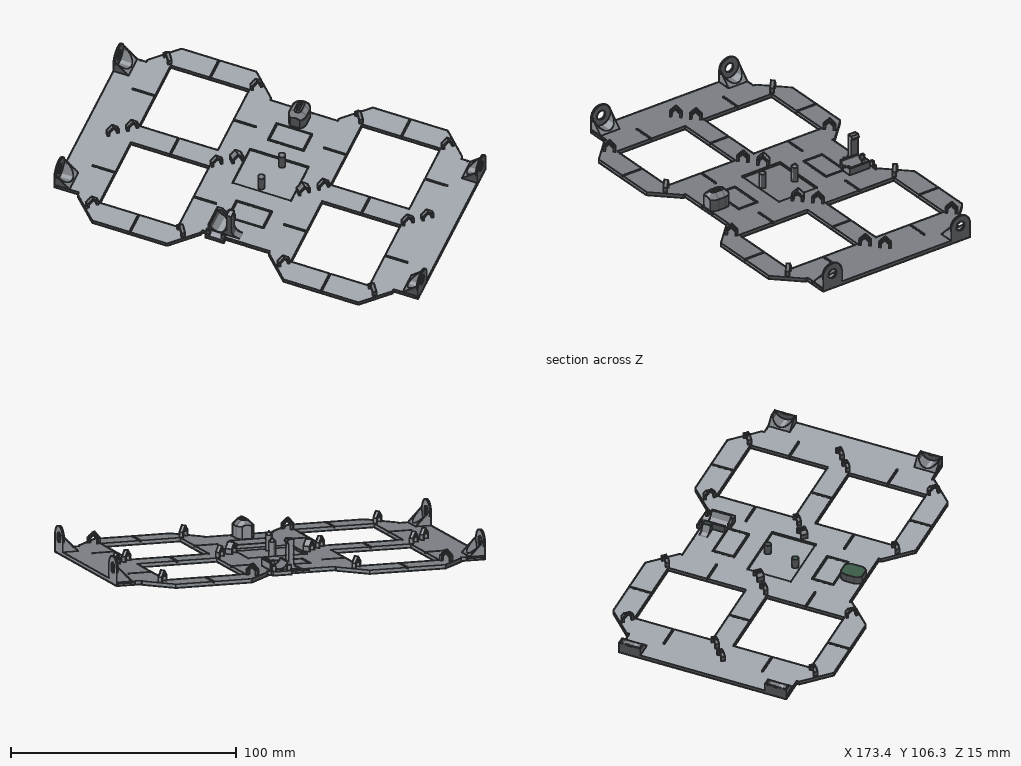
import cadquery as cq
import math

LENGTH = 173.4
BODY_WIDTH = 80.8
THICKNESS = 1.7
END_X = LENGTH / 2
EDGE_Y = BODY_WIDTH / 2

WINDOW = 37.5
BAND = 10.7
WINDOW_X = 45.6
WINDOW_Y = 23.7
RING_CHAMFER = 11.6
GROOVE_WIDTH = 0.5
GROOVE_DEPTH = 0.5

POCKET_LENGTH = 27.9
POCKET_WIDTH = 21.1
POCKET_Y = 0.5
POCKET_DEPTH = 1.0
PIN_DIAMETER = 3.0
PIN_SHOULDER_Z = 7.8
PIN_TIP_Z = 9.4
PIN_PLACES = [(2.5, 8.1), (-1.4, -6.8)]

FRAME_LENGTH = 17.2
FRAME_INNER_Y = 18.7
FRAME_OUTER_Y = 29.1
FRAME_GROOVE = 0.5
FRAME_OUTER_GROOVE = 0.26

LUG_WIDTH = 10.4
LUG_WALL = 0.7
LUG_HOLE = 4.5
LUG_CENTER_Z = 7.5
GUSSET_REACH = 7.3
SCOOP_DIAMETER = 10.0

CLIP_LENGTH = 5.4
CLIP_WALL = 0.9
CLIP_TOP_Z = 6.8
CLIP_WIDTH = 1.7
WIDE_CLIP_WIDTH = 3.1
CLIP_OFFSET = 21.1
CLIP_ANGLE = 45
END_CLIP = (73.7, 3.3)
POCKET_CLIP = (17.2, -3.1)

POST_WIDTH = 8.1
POST_RADIUS = POST_WIDTH / 2
POST_LENGTH = 10.4
POST_STRAIGHT = 3.6
POST_SHOULDER_Z = 7.3
POST_BREAK_RADIUS = 1.5
RIDGE_RADIUS = 0.5
RIDGE_BASE_Z = 9.9
RIDGE_TOP_Z = 10.4

CRADLE_LEFT = -13.9
CRADLE_RIGHT = -5.0
CRADLE_BACK_Y = -27.9
CRADLE_FRONT_Y = -38.8
CRADLE_TOP_Z = 5.0
CRADLE_BORE_RADIUS = 3.8
CRADLE_BORE_Z = 5.9
LIP_BORE_RADIUS = 2.0
TONGUE_FRONT_Y = -42.5
EAR_FRONT_Y = -41.5
EAR_WIDTH = 1.7
EAR_TOP_Z = 4.2

LATCH_LEFT = -5.2
LATCH_RIGHT = -3.0
LATCH_BACK_Y = -35.0
LATCH_TOP_Z = 15.0
HOOK_REACH = 0.7
HOOK_HEIGHT = 2.0
LATCH_FILLET = 3.8

V_DEPTH = 0.5
CORNER_V_X = 82.0
V_LENGTH = 8.0

BOTH_SIDES = (-1, 1)


def block(x_range, y_range, z_range):
    """Box between two limits along each axis."""
    sizes = [high - low for low, high in (x_range, y_range, z_range)]
    corner = (x_range[0], y_range[0], z_range[0])
    return cq.Workplane("XY").box(*sizes, centered=False).translate(corner)


def window_centers():
    return [(sx * WINDOW_X, sy * WINDOW_Y) for sx in BOTH_SIDES for sy in BOTH_SIDES]


def make_plate():
    plate = cq.Workplane("XY").box(LENGTH, BODY_WIDTH, THICKNESS, centered=(True, True, False))
    ring_length = WINDOW + 2 * BAND
    ring_width = 2 * WINDOW_Y + ring_length
    for side in BOTH_SIDES:
        ring = (
            cq.Workplane("XY")
            .box(ring_length, ring_width, THICKNESS, centered=(True, True, False))
            .edges("|Z")
            .chamfer(RING_CHAMFER)
            .translate((side * WINDOW_X, 0, 0))
        )
        plate = plate.union(ring)
    tongue = block((CRADLE_LEFT, CRADLE_RIGHT), (TONGUE_FRONT_Y, CRADLE_FRONT_Y), (0, THICKNESS))
    return plate.union(tongue)


def cut_windows(plate):
    """Open the four windows and score a groove across the middle of every band."""
    groove_span = WINDOW + 2 * BAND
    bottom = THICKNESS - GROOVE_DEPTH
    tools = cq.Workplane("XY").workplane(offset=bottom).pushPoints(window_centers())
    plate = plate.cut(tools.rect(groove_span, GROOVE_WIDTH).extrude(GROOVE_DEPTH))
    plate = plate.cut(tools.rect(GROOVE_WIDTH, groove_span).extrude(GROOVE_DEPTH))
    openings = cq.Workplane("XY").pushPoints(window_centers()).rect(WINDOW, WINDOW).extrude(THICKNESS)
    return plate.cut(openings)


def cut_pocket(plate):
    pocket = (
        cq.Workplane("XY", origin=(0, POCKET_Y, THICKNESS - POCKET_DEPTH))
        .rect(POCKET_LENGTH, POCKET_WIDTH)
        .extrude(POCKET_DEPTH)
    )
    return plate.cut(pocket)


def make_frame_groove():
    """Rectangular groove on the +Y side, narrower along its outer edge."""
    half = FRAME_LENGTH / 2
    depth_range = (THICKNESS - GROOVE_DEPTH, THICKNESS)
    outside = block((-half, half), (FRAME_INNER_Y, FRAME_OUTER_Y), depth_range)
    island = block(
        (FRAME_GROOVE - half, half - FRAME_GROOVE),
        (FRAME_INNER_Y + FRAME_GROOVE, FRAME_OUTER_Y - FRAME_OUTER_GROOVE),
        depth_range,
    )
    return outside.cut(island)


def make_v_groove(x):
    """V-shaped cutter along X at the +Y edge of the plate body."""
    return (
        cq.Workplane("YZ", origin=(x - V_LENGTH / 2, 0, 0))
        .moveTo(EDGE_Y, 0)
        .lineTo(EDGE_Y - V_DEPTH, THICKNESS / 2)
        .lineTo(EDGE_Y, THICKNESS)
        .close()
        .extrude(V_LENGTH)
    )


def make_pin(x, y):
    radius = PIN_DIAMETER / 2
    return (
        cq.Workplane("XZ")
        .moveTo(0, THICKNESS - POCKET_DEPTH)
        .lineTo(radius, THICKNESS - POCKET_DEPTH)
        .lineTo(radius, PIN_SHOULDER_Z)
        .lineTo(0, PIN_TIP_Z)
        .close()
        .revolve(360, (0, 0), (0, 1))
        .translate((x, y, 0))
    )


def make_lug():
    """Round-topped lug with a scooped gusset at the +X, +Y corner."""
    radius = LUG_WIDTH / 2
    center_y = EDGE_Y - radius
    wall_x = END_X - LUG_WALL
    wall = (
        cq.Workplane("YZ", origin=(wall_x, center_y, 0))
        .moveTo(-radius, 0)
        .lineTo(radius, 0)
        .lineTo(radius, LUG_CENTER_Z)
        .threePointArc((0, LUG_CENTER_Z + radius), (-radius, LUG_CENTER_Z))
        .close()
        .extrude(LUG_WALL)
    )
    rise = GUSSET_REACH - LUG_WALL
    gusset = (
        cq.Workplane("XZ", origin=(0, EDGE_Y, 0))
        .moveTo(END_X - GUSSET_REACH, THICKNESS)
        .lineTo(wall_x, THICKNESS)
        .lineTo(wall_x, THICKNESS + rise)
        .close()
        .extrude(LUG_WIDTH)
    )
    axis = cq.Workplane("YZ", origin=(END_X - GUSSET_REACH, center_y, LUG_CENTER_Z))
    scoop = axis.circle(SCOOP_DIAMETER / 2).extrude(rise)
    hole = axis.circle(LUG_HOLE / 2).extrude(GUSSET_REACH)
    return wall.union(gusset.cut(scoop)).cut(hole)


def make_clip(x, y, angle, width):
    """Gable-topped arch standing on the plate, its span turned by angle from X."""

    def gable(half_span, top_z):
        return (
            cq.Workplane("XZ", origin=(0, width / 2, 0))
            .moveTo(-half_span, THICKNESS)
            .lineTo(half_span, THICKNESS)
            .lineTo(half_span, top_z - half_span)
            .lineTo(0, top_z)
            .lineTo(-half_span, top_z - half_span)
            .close()
            .extrude(width)
        )

    half = CLIP_LENGTH / 2
    arch = gable(half, CLIP_TOP_Z).cut(gable(half - CLIP_WALL, CLIP_TOP_Z - CLIP_WALL * math.sqrt(2)))
    return arch.rotate((0, 0, 0), (0, 0, 1), angle).translate((x, y, 0))


def make_clips():
    clips = []
    for x, y in window_centers():
        outward = math.copysign(1, y)
        for sx, sy in ((-1, -1), (1, 1), (-outward, outward)):
            angle = CLIP_ANGLE * sx * sy
            clips.append(make_clip(x + sx * CLIP_OFFSET, y + sy * CLIP_OFFSET, angle, CLIP_WIDTH))
    for side in BOTH_SIDES:
        clips.append(make_clip(side * END_CLIP[0], side * END_CLIP[1], CLIP_ANGLE, CLIP_WIDTH))
        clips.append(make_clip(side * POCKET_CLIP[0], side * POCKET_CLIP[1], CLIP_ANGLE, WIDE_CLIP_WIDTH))
    return clips


def make_post():
    """Rounded post with flat ends; its roof starts at 45 degrees and flattens below a narrow ridge."""
    break_z = POST_SHOULDER_Z + POST_RADIUS - POST_BREAK_RADIUS

    def half_profile():
        return (
            cq.Workplane("XZ")
            .moveTo(0, THICKNESS)
            .lineTo(POST_RADIUS, THICKNESS)
            .lineTo(POST_RADIUS, POST_SHOULDER_Z)
            .lineTo(POST_BREAK_RADIUS, break_z)
            .lineTo(RIDGE_RADIUS, RIDGE_BASE_Z)
            .lineTo(RIDGE_RADIUS, RIDGE_TOP_Z)
            .lineTo(0, RIDGE_TOP_Z)
            .close()
        )

    straight_half = half_profile().extrude(POST_STRAIGHT / 2, both=True)
    round_end = half_profile().revolve(360, (0, 0), (0, 1))
    post = straight_half.union(straight_half.mirror("YZ"))
    for side in BOTH_SIDES:
        post = post.union(round_end.translate((0, side * POST_STRAIGHT / 2, 0)))
    half_length = POST_LENGTH / 2
    envelope = block((-POST_RADIUS, POST_RADIUS), (-half_length, half_length), (THICKNESS, RIDGE_TOP_Z))
    return post.intersect(envelope).translate((0, EDGE_Y - half_length, 0))


def make_cradle():
    """Trough along Y with a shallower lip at its back, and two ears in front of it."""
    center_x = (CRADLE_LEFT + CRADLE_RIGHT) / 2
    height_range = (THICKNESS, CRADLE_TOP_Z)
    trough = block((CRADLE_LEFT, CRADLE_RIGHT), (CRADLE_FRONT_Y, -FRAME_OUTER_Y), height_range)
    lip = block((CRADLE_LEFT, -FRAME_LENGTH / 2), (-FRAME_OUTER_Y, CRADLE_BACK_Y), height_range)

    def bore(radius):
        start = cq.Workplane("XZ", origin=(center_x, CRADLE_BACK_Y, CRADLE_BORE_Z))
        return start.circle(radius).extrude(CRADLE_BACK_Y - CRADLE_FRONT_Y)

    cradle = trough.cut(bore(CRADLE_BORE_RADIUS)).union(lip.cut(bore(LIP_BORE_RADIUS)))
    for ear_left in (CRADLE_LEFT, CRADLE_RIGHT - EAR_WIDTH):
        ear = block((ear_left, ear_left + EAR_WIDTH), (EAR_FRONT_Y, -EDGE_Y), (THICKNESS, EAR_TOP_Z))
        cradle = cradle.union(ear)
    return cradle


def make_latch():
    """Upright latch with a pointed hook toward the cradle and a concave foot on its other side."""
    foot_x = LATCH_RIGHT + LATCH_FILLET
    foot_z = THICKNESS + LATCH_FILLET
    bend = LATCH_FILLET * (1 - math.sqrt(0.5))
    return (
        cq.Workplane("XZ", origin=(0, LATCH_BACK_Y, 0))
        .moveTo(LATCH_LEFT, THICKNESS)
        .lineTo(foot_x, THICKNESS)
        .threePointArc((LATCH_RIGHT + bend, THICKNESS + bend), (LATCH_RIGHT, foot_z))
        .lineTo(LATCH_RIGHT, LATCH_TOP_Z)
        .lineTo(LATCH_LEFT, LATCH_TOP_Z)
        .lineTo(LATCH_LEFT - HOOK_REACH, LATCH_TOP_Z - HOOK_HEIGHT / 2)
        .lineTo(LATCH_LEFT, LATCH_TOP_Z - HOOK_HEIGHT)
        .close()
        .extrude(LATCH_BACK_Y - CRADLE_FRONT_Y)
    )


result = cut_pocket(cut_windows(make_plate()))

frame_groove = make_frame_groove()
result = result.cut(frame_groove).cut(frame_groove.mirror("XZ"))

for groove_x in (-CORNER_V_X, 0, CORNER_V_X):
    v_groove = make_v_groove(groove_x)
    result = result.cut(v_groove).cut(v_groove.mirror("XZ"))

for pin_x, pin_y in PIN_PLACES:
    result = result.union(make_pin(pin_x, pin_y))

right_lug = make_lug()
for lug in (right_lug, right_lug.mirror("YZ")):
    result = result.union(lug).union(lug.mirror("XZ"))

for clip in make_clips():
    result = result.union(clip)

result = result.union(make_post()).union(make_cradle()).union(make_latch())